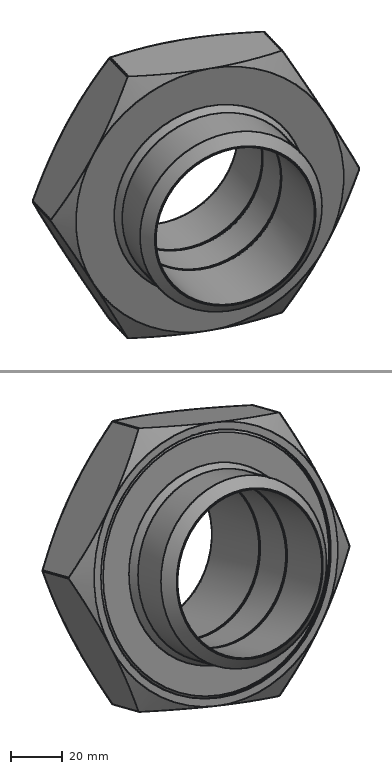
import cadquery as cq
import math

LENGTH = 80.0
LEFT_NECK = 24.5
RIGHT_NECK = 26.5
CONE_LENGTH = 3.5
X_LEFT = -LENGTH / 2
X_RIGHT = LENGTH / 2
HEX_LEFT = X_LEFT + LEFT_NECK
HEX_RIGHT = X_RIGHT - RIGHT_NECK

NECK_RADIUS = 38.1
CONE_RADIUS = 40.0
LAND_RADIUS = 33.7
BORE_RADIUS = 33.2
NECK_CHAMFER = NECK_RADIUS - LAND_RADIUS

HEX_SIDES = 6
HALF_HEX_STEP = 180 / HEX_SIDES
ACROSS_FLATS = 112.1
HEX_TURNED_RADIUS = 64.6
HEX_CHAMFER_ANGLE = 30.0

GROOVE_SIZE = 1.0
FACE_GROOVE_RADIUS = 53.0
BORE_GROOVE_XS = (-14.9, 4.7)


def revolve_about_x(points):
    profile = cq.Workplane("XY").polyline(points).close()
    return profile.revolve(360, (0, 0, 0), (1, 0, 0))


def make_necks():
    return revolve_about_x([
        (X_LEFT, 0),
        (X_LEFT, LAND_RADIUS),
        (X_LEFT + NECK_CHAMFER, NECK_RADIUS),
        (HEX_LEFT - CONE_LENGTH, NECK_RADIUS),
        (HEX_LEFT, CONE_RADIUS),
        (HEX_RIGHT, CONE_RADIUS),
        (HEX_RIGHT + CONE_LENGTH, NECK_RADIUS),
        (X_RIGHT - NECK_CHAMFER, NECK_RADIUS),
        (X_RIGHT, LAND_RADIUS),
        (X_RIGHT, 0),
    ])


def make_hexagon():
    flat = ACROSS_FLATS / 2
    drop = (HEX_TURNED_RADIUS - flat) * math.tan(math.radians(HEX_CHAMFER_ANGLE))
    prism = (
        cq.Workplane("YZ", origin=(HEX_LEFT, 0, 0))
        .polygon(HEX_SIDES, ACROSS_FLATS, circumscribed=True)
        .extrude(HEX_RIGHT - HEX_LEFT)
        .rotate((0, 0, 0), (1, 0, 0), HALF_HEX_STEP)
    )
    turned = revolve_about_x([
        (HEX_LEFT, 0),
        (HEX_LEFT, flat),
        (HEX_LEFT + drop, HEX_TURNED_RADIUS),
        (HEX_RIGHT - drop, HEX_TURNED_RADIUS),
        (HEX_RIGHT, flat),
        (HEX_RIGHT, 0),
    ])
    return prism.intersect(turned)


def make_face_groove():
    return revolve_about_x([
        (HEX_LEFT, FACE_GROOVE_RADIUS - GROOVE_SIZE),
        (HEX_LEFT + GROOVE_SIZE, FACE_GROOVE_RADIUS),
        (HEX_LEFT, FACE_GROOVE_RADIUS),
    ])


def make_bore_groove(start):
    return revolve_about_x([
        (start, BORE_RADIUS),
        (start, BORE_RADIUS + GROOVE_SIZE),
        (start + GROOVE_SIZE, BORE_RADIUS),
    ])


def make_bore():
    return revolve_about_x([
        (X_LEFT, 0),
        (X_LEFT, BORE_RADIUS),
        (X_RIGHT, BORE_RADIUS),
        (X_RIGHT, 0),
    ])


result = make_necks().union(make_hexagon()).cut(make_face_groove()).cut(make_bore())
for groove_start in BORE_GROOVE_XS:
    result = result.cut(make_bore_groove(groove_start))